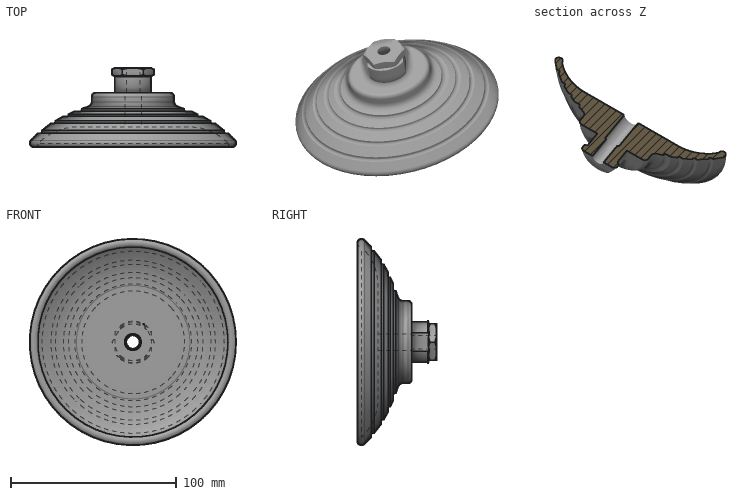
import cadquery as cq
import math

cup_radius = 62.5
total_depth = 48.0

bead_radius = 2.5
bead_center_radius = cup_radius - bead_radius
bead_inner_radius = bead_center_radius - bead_radius
bead_slope_offset = bead_radius * math.sin(math.radians(45))
slope_start = (bead_center_radius + bead_slope_offset, bead_radius + bead_slope_offset)

step_fillet = 0.7
first_ledge_y = 8.5
first_ledge_radius = slope_start[0] - (first_ledge_y - slope_start[1])
outer_steps = [
    (55.1, first_ledge_y, 10.1, 49.7),
    (47.1, 14.4, 15.9, 42.2),
    (39.1, 18.6, 19.9, 35.4),
]
last_wall_radius = 31.1
last_ledge_y = 21.7
last_wall_top_y = 23.2

hub_radius = 25.0
hub_top_y = 33.0
hub_edge_fillet = 2.5
hub_base_y = 27.5
hub_base_fillet = 3.0
last_cone_angle = math.radians(18)

floor_radius = 34.4
floor_y = 12.4

neck_radius = 12.4
neck_width = 22.0
hex_width = 22.1
hex_corner_radius = hex_width / 2 / math.cos(math.radians(30))
hex_base_y = 42.9
hex_chamfer_width = hex_corner_radius - hex_width / 2
hex_chamfer_depth = hex_chamfer_width * math.tan(math.radians(30))
collar_height = 0.2
collar_taper_height = 0.5

bore_diameter = 8.0
inlet_diameter = 10.0
inlet_end_y = hub_top_y


def circle_point(center, radius, angle):
    return (center[0] + radius * math.cos(angle), center[1] + radius * math.sin(angle))


def add_step(profile, wall_radius, ledge_y, wall_top_y):
    """Ledge, concave fillet and short wall of one outside step."""
    center = (wall_radius + step_fillet, ledge_y + step_fillet)
    return (
        profile.lineTo(center[0], ledge_y)
        .threePointArc(circle_point(center, step_fillet, math.radians(225)), (wall_radius, center[1]))
        .lineTo(wall_radius, wall_top_y)
    )


def revolve_about_y(profile):
    return profile.close().revolve(360, (0, 0, 0), (0, 1, 0))


def make_cup():
    bead_center = (bead_center_radius, bead_radius)
    profile = (
        cq.Workplane("XY")
        .moveTo(0, floor_y)
        .lineTo(floor_radius, floor_y)
    )
    hollow_width = bead_inner_radius - floor_radius
    hollow_depth = floor_y - bead_radius
    hollow_radius = (hollow_width**2 + hollow_depth**2) / (2 * hollow_depth)
    half_sweep = math.asin(hollow_width / hollow_radius) / 2
    hollow_center = (floor_radius, floor_y - hollow_radius)
    hollow_middle = circle_point(hollow_center, hollow_radius, math.pi / 2 - half_sweep)
    profile = (
        profile.threePointArc(hollow_middle, (bead_inner_radius, bead_radius))
        .threePointArc(circle_point(bead_center, bead_radius, math.radians(-60)), slope_start)
        .lineTo(first_ledge_radius, first_ledge_y)
    )

    next_ledges = [step[1] for step in outer_steps[1:]] + [last_ledge_y]
    for (wall_radius, ledge_y, wall_top_y, cone_end_radius), next_ledge in zip(outer_steps, next_ledges):
        profile = add_step(profile, wall_radius, ledge_y, wall_top_y)
        profile = profile.lineTo(cone_end_radius, next_ledge)
    profile = add_step(profile, last_wall_radius, last_ledge_y, last_wall_top_y)

    fillet_center = (hub_radius + hub_base_fillet, hub_base_y)
    fillet_start_angle = math.radians(270) - last_cone_angle
    fillet_middle_angle = (fillet_start_angle + math.pi) / 2
    edge_center = (hub_radius - hub_edge_fillet, hub_top_y - hub_edge_fillet)
    profile = (
        profile.lineTo(*circle_point(fillet_center, hub_base_fillet, fillet_start_angle))
        .threePointArc(
            circle_point(fillet_center, hub_base_fillet, fillet_middle_angle), (hub_radius, hub_base_y)
        )
        .lineTo(hub_radius, edge_center[1])
        .threePointArc(
            circle_point(edge_center, hub_edge_fillet, math.radians(45)), (edge_center[0], hub_top_y)
        )
        .lineTo(0, hub_top_y)
    )
    return revolve_about_y(profile)


def cylinder(radius, start_y, end_y):
    return cq.Workplane("XZ", origin=(0, start_y, 0)).circle(radius).extrude(start_y - end_y)


def make_neck():
    """Round neck with a flared collar at its end and two flats facing -X and +X."""
    neck = cylinder(neck_radius, hub_top_y, hex_base_y)
    collar = revolve_about_y(
        cq.Workplane("XY")
        .moveTo(0, hex_base_y - collar_height)
        .lineTo(hex_corner_radius, hex_base_y - collar_height)
        .lineTo(hex_corner_radius, hex_base_y)
        .lineTo(hex_corner_radius - hex_chamfer_width, hex_base_y + collar_taper_height)
        .lineTo(0, hex_base_y + collar_taper_height)
    )
    flats = cq.Workplane("XY").box(neck_width, 2 * total_depth, 2 * cup_radius)
    return neck.union(collar).intersect(flats)


def make_hex():
    """Hexagon with corners on X and both ends chamfered by a cone."""
    end_radius = hex_corner_radius - hex_chamfer_width
    prism = (
        cq.Workplane("XZ", origin=(0, hex_base_y, 0))
        .polygon(6, 2 * hex_corner_radius)
        .extrude(hex_base_y - total_depth)
    )
    envelope = revolve_about_y(
        cq.Workplane("XY")
        .moveTo(0, hex_base_y)
        .lineTo(end_radius, hex_base_y)
        .lineTo(hex_corner_radius, hex_base_y + hex_chamfer_depth)
        .lineTo(hex_corner_radius, total_depth - hex_chamfer_depth)
        .lineTo(end_radius, total_depth)
        .lineTo(0, total_depth)
    )
    return prism.intersect(envelope)


bore = cylinder(bore_diameter / 2, 0, total_depth)
inlet = cylinder(inlet_diameter / 2, 0, inlet_end_y)

result = make_cup().union(make_neck()).union(make_hex()).cut(bore).cut(inlet)